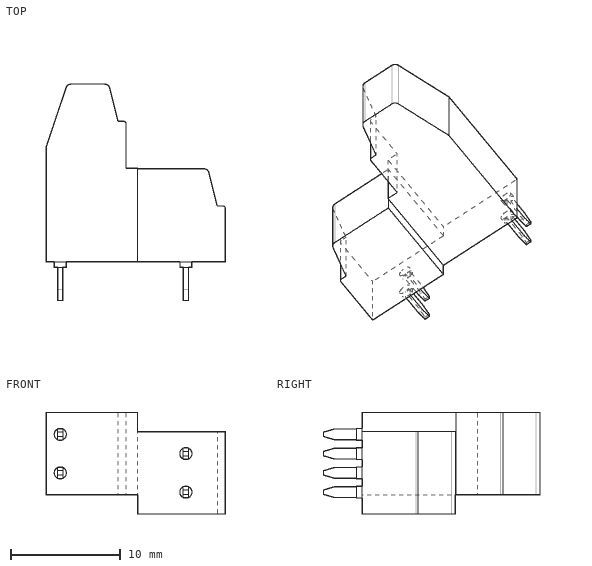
import cadquery as cq


total_width = 16.3
total_length = 19.7
pin_length = 3.5
body_length = total_length - pin_length

pitch = 3.5
level_offset = pitch / 2
block_height = 7.5
tall_width = 8.31
tall_upper_width = 7.27
shoulder_length = 8.55
low_length = 8.5

ledge_width = 0.73
lean_width = 0.85
lean_drop = 3.39
crest_radius = 0.5
ledge_radius = 0.2

slope_start = 10.5
slope_width = 1.91

first_pin_x = 1.28
pin_row_spacing = 11.43
collar_diameter = 1.1
collar_length = 0.5
blade_thickness = 0.5
blade_width = 1.0
tip_width = 0.41
tip_length = 1.0


def leaning_side(outer_x, crest_y):
    """Outline points of the leaning side, from the ledge's outer edge up to the crest."""
    ledge_y = crest_y - lean_drop
    lean_foot_x = outer_x - ledge_width
    return [
        (outer_x, ledge_y),
        (lean_foot_x, ledge_y),
        (lean_foot_x - lean_width, crest_y),
    ]


def round_corner(block, corner, radius):
    """Round the edge parallel to Z that passes through the given outline corner."""
    x, y = corner
    edge = cq.selectors.NearestToPointSelector((x, y, block.val().Center().z))
    return block.edges("|Z").edges(edge).fillet(radius)


def make_block(outline, bottom_z):
    """Extrude an XY outline to one block height."""
    return cq.Workplane("XY").workplane(offset=bottom_z).polyline(outline).close().extrude(block_height)


def make_tall_block():
    side = leaning_side(tall_upper_width, body_length)
    slope_crest = (slope_width, body_length)
    outline = [
        (0, 0),
        (tall_width, 0),
        (tall_width, shoulder_length),
        (tall_upper_width, shoulder_length),
        *side,
        slope_crest,
        (0, slope_start),
    ]
    block = make_block(outline, 0)
    block = round_corner(block, side[0], ledge_radius)
    block = round_corner(block, side[-1], crest_radius)
    return round_corner(block, slope_crest, crest_radius)


def make_low_block():
    side = leaning_side(total_width, low_length)
    outline = [
        (tall_width, 0),
        (total_width, 0),
        *side,
        (tall_width, low_length),
    ]
    block = make_block(outline, -level_offset)
    block = round_corner(block, side[0], ledge_radius)
    return round_corner(block, side[-1], crest_radius)


def make_pin(x, z):
    """Round collar on the pin-side face, then a flat blade tapering toward its tip."""
    collar = cq.Workplane("XZ", origin=(x, 0, z)).circle(collar_diameter / 2).extrude(collar_length)
    taper_y = tip_length - pin_length
    blade = (
        cq.Workplane("YZ", origin=(x, 0, z))
        .polyline([
            (-collar_length, -blade_width / 2),
            (taper_y, -blade_width / 2),
            (-pin_length, -tip_width / 2),
            (-pin_length, tip_width / 2),
            (taper_y, blade_width / 2),
            (-collar_length, blade_width / 2),
        ])
        .close()
        .extrude(blade_thickness / 2, both=True)
    )
    return collar.union(blade)


result = make_tall_block().union(make_low_block())

tall_middle_z = block_height / 2
pin_rows = [
    (first_pin_x, tall_middle_z),
    (first_pin_x + pin_row_spacing, tall_middle_z - level_offset),
]
for row_x, middle_z in pin_rows:
    for side_sign in (-1, 1):
        result = result.union(make_pin(row_x, middle_z + side_sign * pitch / 2))